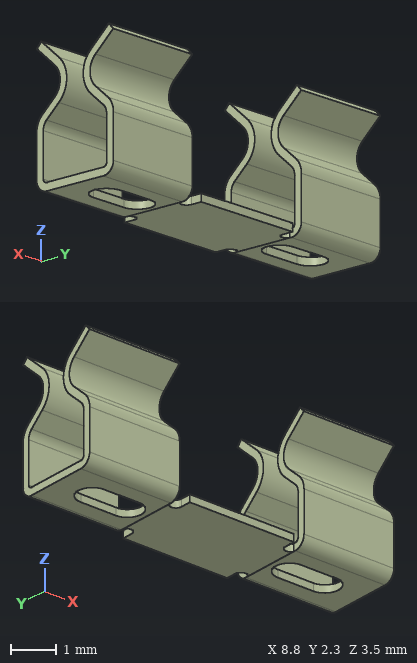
import cadquery as cq
import math

overall_length = 8.8
overall_width = 2.3
overall_height = 3.5
sheet = 0.2

clip_length = 2.605
floor_bend_radius = 0.3
wall_top = 1.43
arm_bend_radius = 0.5
arm_slope = 42.0
waist_gap = 0.49

slot_length = 1.81
slot_width = 0.8
slot_inset = 0.15

notch_radius = 0.15
notch_depth = 0.45
notch_offset = 0.14

half_width = overall_width / 2
clip_inner_x = overall_length / 2 - clip_length
normal_angle = 90 - arm_slope
normal_y = math.cos(math.radians(normal_angle))
normal_z = math.sin(math.radians(normal_angle))

shoulder_y = half_width - arm_bend_radius
shoulder_inner_radius = arm_bend_radius - sheet
waist_inner_radius = arm_bend_radius + sheet
waist_y = waist_gap / 2 + waist_inner_radius
waist_z = wall_top + (2 * arm_bend_radius - (waist_y - shoulder_y) * normal_y) / normal_z


def on_arc(center_y, center_z, radius, angle):
    """Point (y, z) on a circle, with the angle in degrees from +Y."""
    turn = math.radians(angle)
    return center_y + radius * math.cos(turn), center_z + radius * math.sin(turn)


def floor_bend_point(radius, angle):
    return on_arc(half_width - floor_bend_radius, floor_bend_radius, radius, angle)


def shoulder_point(radius, angle):
    return on_arc(shoulder_y, wall_top, radius, angle)


def waist_point(radius, angle):
    return on_arc(waist_y, waist_z, radius, angle)


def half_clip():
    """The +Y half of a clip as a bent strip, extruded along X from x = 0."""
    waist_start = 180 + normal_angle
    waist_end = 180 - normal_angle
    floor_inner_radius = floor_bend_radius - sheet

    lip_start_y, lip_start_z = waist_point(waist_inner_radius, waist_end)
    lip_rise = overall_height - lip_start_z
    lip_tip_inner = (lip_start_y + lip_rise * normal_z / normal_y, overall_height)
    lip_tip_outer = (lip_tip_inner[0] + sheet * normal_y, overall_height - sheet * normal_z)

    return (
        cq.Workplane("YZ")
        .moveTo(0, 0)
        .lineTo(*floor_bend_point(floor_bend_radius, -90))
        .threePointArc(floor_bend_point(floor_bend_radius, -45), floor_bend_point(floor_bend_radius, 0))
        .lineTo(*shoulder_point(arm_bend_radius, 0))
        .threePointArc(
            shoulder_point(arm_bend_radius, normal_angle / 2),
            shoulder_point(arm_bend_radius, normal_angle),
        )
        .lineTo(*waist_point(arm_bend_radius, waist_start))
        .threePointArc(waist_point(arm_bend_radius, 180), waist_point(arm_bend_radius, waist_end))
        .lineTo(*lip_tip_outer)
        .lineTo(*lip_tip_inner)
        .lineTo(lip_start_y, lip_start_z)
        .threePointArc(waist_point(waist_inner_radius, 180), waist_point(waist_inner_radius, waist_start))
        .lineTo(*shoulder_point(shoulder_inner_radius, normal_angle))
        .threePointArc(
            shoulder_point(shoulder_inner_radius, normal_angle / 2),
            shoulder_point(shoulder_inner_radius, 0),
        )
        .lineTo(*floor_bend_point(floor_inner_radius, 0))
        .threePointArc(floor_bend_point(floor_inner_radius, -45), floor_bend_point(floor_inner_radius, -90))
        .lineTo(0, sheet)
        .close()
        .extrude(clip_length)
    )


def make_clip(side):
    """Spring clip at the +X (side = 1) or -X (side = -1) end."""
    half = half_clip()
    clip = half.union(half.mirror("XZ")).clean()
    slot = (
        cq.Workplane("XY")
        .center(slot_inset + slot_length / 2, 0)
        .slot2D(slot_length, slot_width)
        .extrude(sheet)
    )
    clip = clip.cut(slot).translate((clip_inner_x, 0, 0))
    return clip if side > 0 else clip.mirror("YZ")


def notch_cutter(side_x, side_y):
    """Round-bottomed relief notch, open to the side and to the end of the bridge."""
    center_x = side_x * (clip_inner_x - notch_offset)
    round_y = side_y * (half_width - notch_depth + notch_radius)
    straight_depth = notch_depth - notch_radius
    round_bottom = cq.Workplane("XY").center(center_x, round_y).circle(notch_radius).extrude(sheet)
    straight = (
        cq.Workplane("XY")
        .center(center_x, side_y * (half_width - straight_depth / 2))
        .rect(2 * notch_radius, straight_depth)
        .extrude(sheet)
    )
    return round_bottom.union(straight)


def make_bridge():
    """Flat plate joining the clip floors, with a notch at each corner."""
    bridge = cq.Workplane("XY").rect(2 * clip_inner_x, overall_width).extrude(sheet)
    for side_x in (-1, 1):
        for side_y in (-1, 1):
            bridge = bridge.cut(notch_cutter(side_x, side_y))
    return bridge


clips = [make_clip(side) for side in (-1, 1)]
bridge = make_bridge()

result = cq.Compound.makeCompound([bridge.solids().val(), *[clip.solids().val() for clip in clips]])